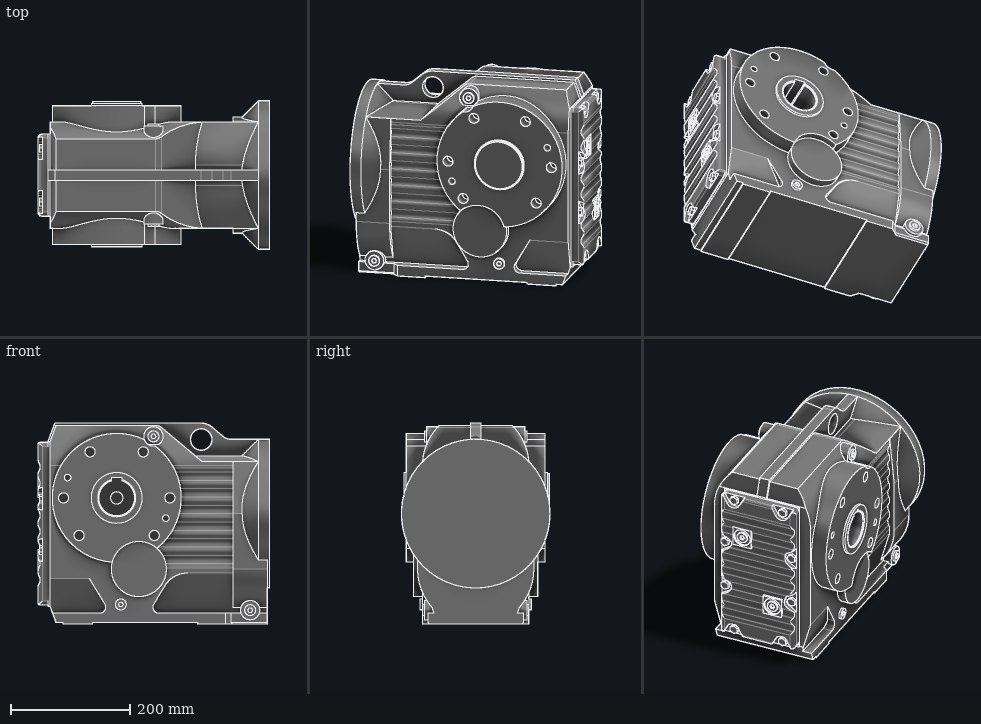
import cadquery as cq
import math


cut_margin = 1.0

half_width = 89.5
foot_z = -209.5
roof_z = 121.8
roof_half_width = 61.0
shoulder_z = 54.4
left_x = -112.0
left_slant_x = -102.0
left_slant_top_z = 94.0
left_slant_bottom_z = -182.6
right_x = 253.0

slope_angle = math.radians(40)
slope_top_x = 71.0
slope_round = 15.0
barrel_roof_z = 70.4
barrel_flat_half = 17.0
barrel_eave_z = 60.8
barrel_start_x = 100.0

flange_z = -26.4
flange_radius = 125.0
flange_face_x = 257.0
flange_back_x = 238.0
cone_length = 38.0
block_start_x = 195.0
block_radius = 97.8
block_round_z = -119.4

rib_width = 18.0
rib_top_z = 125.8
rib_left_x = -115.0
rib_left_top_x = -104.0
rib_left_corner_z = 96.3
rib_right_z = 98.6
rib_base_z = 50.0
eye_x = 142.0
eye_z = 98.0
eye_radius = 17.8
rib_end_round = rib_top_z - eye_z
rib_foot_round = 21.0

disc_radius = 108.3
disc_y = 116.7
bolt_circle = 89.3
bolt_hole_diameter = 17.0
bolt_hole_angles = (0, 60, 120, 180, 225, 315)
pin_hole_diameter = 11.0
pin_hole_angles = (-22.5, 157.5)
disc_hole_depth = 30.0
hub_radius = 42.7
hub_y = 120.7
end_cap_radius = 40.7
end_cap_y = 123.8
bore_radius = 30.0
bore_mouth_radius = 31.8
bore_mouth_depth = 2.0
bore_end_y = 95.0
center_hole_radius = 10.3
center_hole_depth = 20.0
key_width = 18.0
key_top_z = 34.2

cap_x = 37.2
cap_z = -119.6
cap_radius = 46.3
cap_y = 104.5

plug_radius = 9.2
plug_socket_radius = 4.2
plug_socket_depth = 3.0
plug_boss_radius = 16.2
upper_boss = (61.7, 103.3)
upper_boss_y = 82.5
upper_plug_y = 86.2
lower_plug = (7.0, -179.0)
lower_plug_y = 93.7
foot_boss = (224.2, -188.6)
foot_boss_y = 86.0
foot_plug_y = 89.5

ripple_angle = math.radians(30)
side_ripple_top_z = 50.4
side_ripple_pitch = 28.0
side_ripple_count = 6
side_ripple_start_x = 40.0
cover_ripple_top_z = 65.5
cover_ripple_pitch = 27.1
cover_ripple_count = 8

pocket_floor_z = -193.7
pocket_corner = 10.0
pocket_draft = 0.2835
pocket_end_slope = 0.6
left_pocket_top_z = -135.5
left_pocket_end_x = -45.8
right_pocket_top_z = -126.3
right_pocket_end_x = 93.7
right_pocket_round = 44.0
pad_height = 2.7
pad_left_x = (-90.5, -40.4)
pad_right_x = (135.8, right_x)
end_recess_x = 183.0
end_recess_full_x = 192.0
end_recess_half_width = 80.0

cover_half_width = 69.2
cover_top_z = 93.5
cover_bottom_z = -180.0
cover_face_x = -132.5
cover_plate_x = -115.0
cover_side_round = 8.0
cover_end_round = 4.0
cover_corner = 7.0
seat_floor_x = -124.5
seat_radius = 12.3
seat_mouth_half = 19.0
bolt_head_height = 5.5
bolt_head_corners = 15.0
end_bolt_y = 45.2
end_bolt_z = (84.4, -170.9)
side_bolt_y = 62.0
side_bolt_z = (-1.4, -87.6)
cover_plugs = ((28.3, 17.5), (-28.0, -103.7))
plug_pad_size = 34.4
plug_ring_radius = 15.0
plug_ring_depth = 3.0


def extrude_x(outline_yz, x_start, x_end):
    """Prism along X with a straight-sided (y, z) outline."""
    outline = cq.Workplane("YZ", origin=(x_start, 0, 0)).polyline(outline_yz).close()
    return outline.extrude(x_end - x_start)


def cylinder_x(y, z, radius, x_start, x_end):
    return cq.Workplane("YZ", origin=(x_start, 0, 0)).center(y, z).circle(radius).extrude(x_end - x_start)


def cylinder_y(x, z, radius, y_start, y_end):
    """Cylinder along Y; the XZ workplane normal points to -Y."""
    return cq.Workplane("XZ", origin=(0, y_start, 0)).center(x, z).circle(radius).extrude(y_start - y_end)


def block(x_range, y_range, z_range):
    size = [b - a for a, b in (x_range, y_range, z_range)]
    corner = (x_range[0], y_range[0], z_range[0])
    return cq.Workplane("XY", origin=corner).box(*size, centered=False)


def both_sides(solid):
    return solid.union(solid.mirror("XZ"))


def ripple_cutter(plane, crest, top_z, pitch, count, outward):
    """Outline of the space outside a rippled face: alternating convex and hollow arcs.

    Crests lie at the coordinate crest; outward is +1 or -1, the way the face looks.
    """
    radius = pitch / 4 / math.sin(ripple_angle)
    sag = radius * (1 - math.cos(ripple_angle))
    half_sag = radius * (1 - math.cos(ripple_angle / 2))
    half_rise = radius * math.sin(ripple_angle / 2)
    overhang = crest + cut_margin * outward
    outline = plane.moveTo(crest, top_z)
    for index in range(count):
        z = top_z - index * pitch
        outline = outline.threePointArc(
            (crest - outward * half_sag, z - half_rise), (crest - outward * sag, z - pitch / 4)
        )
        outline = outline.threePointArc(
            (crest - outward * 2 * sag, z - pitch / 2), (crest - outward * sag, z - 3 * pitch / 4)
        )
        outline = outline.threePointArc(
            (crest - outward * half_sag, z - pitch + half_rise), (crest, z - pitch)
        )
    return outline.lineTo(overhang, top_z - count * pitch).lineTo(overhang, top_z).close()


def make_housing():
    length = right_x - left_x
    shoulder_drop = roof_z - shoulder_z
    shoulder_inset = half_width - roof_half_width
    shoulder_radius = (shoulder_drop**2 + shoulder_inset**2) / (2 * shoulder_inset)
    section = (
        cq.Workplane("YZ", origin=(left_x, 0, 0))
        .moveTo(-half_width, foot_z)
        .lineTo(half_width, foot_z)
        .lineTo(half_width, shoulder_z)
        .radiusArc((roof_half_width, roof_z), -shoulder_radius)
        .lineTo(-roof_half_width, roof_z)
        .radiusArc((-half_width, shoulder_z), -shoulder_radius)
        .close()
        .extrude(length)
    )
    slope_end_z = 0.0
    slope_end_x = slope_top_x + (roof_z - slope_end_z) / math.tan(slope_angle)
    side_outline = (
        cq.Workplane("XZ", origin=(0, half_width, 0))
        .polyline([
            (left_slant_x, foot_z),
            (left_x, left_slant_bottom_z),
            (left_x, left_slant_top_z),
            (left_slant_x, roof_z),
            (slope_top_x, roof_z),
            (slope_end_x, slope_end_z),
            (right_x, slope_end_z),
            (right_x, foot_z),
        ])
        .close()
        .extrude(2 * half_width)
        .edges(cq.selectors.NearestToPointSelector((slope_top_x, 0, roof_z)))
        .fillet(slope_round)
    )
    eave_run = half_width - barrel_flat_half
    eave_drop = barrel_roof_z - barrel_eave_z
    eave_radius = (eave_run**2 + eave_drop**2) / (2 * eave_drop)
    barrel = (
        cq.Workplane("YZ", origin=(barrel_start_x, 0, 0))
        .moveTo(-half_width, slope_end_z)
        .lineTo(half_width, slope_end_z)
        .lineTo(half_width, barrel_eave_z)
        .radiusArc((barrel_flat_half, barrel_roof_z), -eave_radius)
        .lineTo(-barrel_flat_half, barrel_roof_z)
        .radiusArc((-half_width, barrel_eave_z), -eave_radius)
        .close()
        .extrude(right_x - barrel_start_x)
    )
    return section.intersect(side_outline.union(barrel))


def make_side_ripples():
    plane = cq.Workplane("YZ", origin=(side_ripple_start_x, 0, 0))
    outline = ripple_cutter(
        plane, half_width, side_ripple_top_z, side_ripple_pitch, side_ripple_count, outward=1
    )
    return both_sides(outline.extrude(block_start_x - side_ripple_start_x))


def make_pocket(top_z, outline, rounds):
    """Foot pocket on the -Y side: an (x, z) outline cut back to a drafted wall."""
    prism = outline.close().extrude(half_width)
    for point, radius in rounds:
        selector = cq.selectors.NearestToPointSelector((point[0], -half_width, point[1]))
        prism = prism.edges(selector).fillet(radius)
    depth = pocket_draft * (top_z - pocket_floor_z)
    wedge = extrude_x(
        [
            (-half_width, top_z),
            (-half_width - cut_margin, top_z),
            (-half_width - cut_margin, pocket_floor_z),
            (-half_width + depth, pocket_floor_z),
        ],
        left_x - cut_margin,
        right_x + cut_margin,
    )
    return both_sides(prism.intersect(wedge))


def make_left_pocket():
    reach = pocket_end_slope * (left_pocket_top_z - pocket_floor_z)
    corner = (left_pocket_end_x + reach, pocket_floor_z)
    outline = cq.Workplane("XZ", origin=(0, -half_width / 2, 0)).polyline([
        (left_x, left_pocket_top_z),
        (left_pocket_end_x, left_pocket_top_z),
        corner,
        (left_x, pocket_floor_z),
    ])
    return make_pocket(left_pocket_top_z, outline, [(corner, pocket_corner)])


def make_right_pocket():
    reach = pocket_end_slope * (right_pocket_top_z - pocket_floor_z)
    lower_corner = (right_pocket_end_x - reach, pocket_floor_z)
    upper_corner = (right_pocket_end_x, right_pocket_top_z)
    outline = cq.Workplane("XZ", origin=(0, -half_width / 2, 0)).polyline([
        (right_x, right_pocket_top_z),
        upper_corner,
        lower_corner,
        (right_x, pocket_floor_z),
    ])
    rounds = [(lower_corner, pocket_corner), (upper_corner, right_pocket_round)]
    return make_pocket(right_pocket_top_z, outline, rounds)


def make_foot_pads():
    pads = cq.Workplane("XY")
    for x_range in (pad_left_x, pad_right_x):
        pads = pads.union(block(x_range, (-half_width, half_width), (foot_z - pad_height, foot_z)))
    return pads


def make_end_recess():
    """Narrows the foot at its flange end on both sides."""
    bottom_z = foot_z - pad_height
    outline = (
        cq.Workplane("XY", origin=(0, 0, bottom_z))
        .polyline([
            (end_recess_x, -half_width),
            (end_recess_full_x, -end_recess_half_width),
            (right_x, -end_recess_half_width),
            (right_x, -half_width),
        ])
        .close()
        .extrude(pocket_floor_z - bottom_z)
    )
    return both_sides(outline)


def chamfer_end_recess(solid):
    """Chamfers the bottom edges of the narrowed foot by the pad height."""
    bottom_z = foot_z - pad_height
    for side in (-1, 1):
        straight_middle = ((end_recess_full_x + right_x) / 2, side * end_recess_half_width, bottom_z)
        edge = solid.edges(cq.selectors.NearestToPointSelector(straight_middle))
        solid = edge.chamfer(pad_height)
    return solid


def make_end_block():
    straight = extrude_x(
        [
            (-block_radius, block_round_z),
            (block_radius, block_round_z),
            (block_radius, flange_z),
            (half_width, barrel_eave_z),
            (-half_width, barrel_eave_z),
            (-block_radius, flange_z),
        ],
        block_start_x,
        right_x,
    )
    rounded = straight.union(cylinder_x(0, block_round_z, block_radius, block_start_x, right_x))
    return rounded.intersect(
        block((block_start_x, right_x), (-block_radius, block_radius), (foot_z, barrel_eave_z))
    )


def make_flange():
    return (
        cq.Workplane("XY")
        .polyline([
            (flange_back_x - cone_length, 0),
            (flange_back_x - cone_length, flange_radius - cone_length),
            (flange_back_x, flange_radius),
            (flange_face_x, flange_radius),
            (flange_face_x, 0),
        ])
        .close()
        .revolve(360, (0, 0, 0), (1, 0, 0))
        .translate((0, 0, flange_z))
    )


def make_lifting_rib():
    """Web along the roof, rounded about the lifting eye and sloping to the flange."""
    corner_x = eye_x + rib_end_round * math.tan(slope_angle / 2)
    foot_x = corner_x + (rib_top_z - rib_right_z) / math.tan(slope_angle)
    rib = (
        cq.Workplane("XZ", origin=(0, rib_width / 2, 0))
        .polyline([
            (rib_left_x, rib_base_z),
            (rib_left_x, rib_left_corner_z),
            (rib_left_top_x, rib_top_z),
            (corner_x, rib_top_z),
            (foot_x, rib_right_z),
            (flange_back_x, rib_right_z),
            (flange_back_x, rib_base_z),
        ])
        .close()
        .extrude(rib_width)
    )
    for x, z, radius in ((corner_x, rib_top_z, rib_end_round), (foot_x, rib_right_z, rib_foot_round)):
        rib = rib.edges(cq.selectors.NearestToPointSelector((x, 0, z))).fillet(radius)
    return rib.cut(cylinder_y(eye_x, eye_z, eye_radius, rib_width / 2, -rib_width / 2))


def make_disc():
    """Output disc on the -Y side, notched around the cap and the plug boss."""
    disc = cylinder_y(0, 0, disc_radius, 0, -disc_y)
    disc = disc.cut(cylinder_y(*upper_boss, plug_boss_radius, -upper_boss_y, -disc_y))
    disc = disc.cut(cylinder_y(cap_x, cap_z, cap_radius, -cap_y, -disc_y))
    return disc


def make_disc_holes():
    holes = cq.Workplane("XY")
    for angles, diameter in ((bolt_hole_angles, bolt_hole_diameter), (pin_hole_angles, pin_hole_diameter)):
        for angle in angles:
            x = bolt_circle * math.cos(math.radians(angle))
            z = bolt_circle * math.sin(math.radians(angle))
            holes = holes.union(cylinder_y(x, z, diameter / 2, -disc_y, disc_hole_depth - disc_y))
    return both_sides(holes)


def make_shaft_bore():
    """Keyed bore open on -Y, ending at a wall with a blind center hole."""
    bore = cylinder_y(0, 0, bore_radius, -hub_y, bore_end_y)
    bore = bore.union(block((-key_width / 2, key_width / 2), (-hub_y, bore_end_y), (0, key_top_z)))
    bore = bore.union(cylinder_y(0, 0, bore_mouth_radius, -hub_y, bore_mouth_depth - hub_y))
    return bore.union(cylinder_y(0, 0, center_hole_radius, bore_end_y, bore_end_y + center_hole_depth))


def make_plug(place, face_y):
    """Screw plug on the -Y side with a hexagon socket."""
    plug = cylinder_y(*place, plug_radius, 0, -face_y)
    socket = (
        cq.Workplane("XZ", origin=(0, -face_y, 0))
        .center(*place)
        .polygon(6, 2 * plug_socket_radius)
        .extrude(-plug_socket_depth)
    )
    return plug.cut(socket)


def make_cover_blank():
    """Inspection cover with softened edges, on its square base plate."""
    y_range = (-cover_half_width, cover_half_width)
    x_range = (cover_face_x, left_x)
    z_range = (cover_bottom_z, cover_top_z)
    blank = block(x_range, y_range, z_range).edges("|X").fillet(cover_corner)
    blank = blank.faces("<X").edges().fillet(cover_end_round)
    blank = blank.intersect(block(x_range, y_range, z_range).edges("<X and |Z").fillet(cover_side_round))
    return blank.union(block((cover_plate_x, left_x), y_range, (left_slant_bottom_z, left_slant_top_z)))


def make_cover_ripples():
    plane = cq.Workplane("XZ", origin=(0, cover_half_width, 0))
    outline = ripple_cutter(
        plane, cover_face_x, cover_ripple_top_z, cover_ripple_pitch, cover_ripple_count, outward=-1
    )
    return outline.extrude(2 * cover_half_width)


def make_bolt_seat(y, z, outward):
    """Pocket around a cover bolt, widening to the cover's edge in the (y, z) direction outward."""
    if outward[0]:
        edge = cover_half_width - abs(y)
    elif outward[1] > 0:
        edge = cover_top_z - z
    else:
        edge = z - cover_bottom_z
    mouth_corner_distance = math.hypot(edge, seat_mouth_half)
    tangent_angle = math.atan2(seat_mouth_half, edge) + math.acos(seat_radius / mouth_corner_distance)
    tangent_u = seat_radius * math.cos(tangent_angle)
    tangent_v = seat_radius * math.sin(tangent_angle)

    def place(u, v):
        return (y + u * outward[0] - v * outward[1], z + u * outward[1] + v * outward[0])

    return (
        cq.Workplane("YZ", origin=(cover_face_x, 0, 0))
        .moveTo(*place(edge, seat_mouth_half))
        .lineTo(*place(tangent_u, tangent_v))
        .threePointArc(place(-seat_radius, 0), place(tangent_u, -tangent_v))
        .lineTo(*place(edge, -seat_mouth_half))
        .close()
        .extrude(seat_floor_x - cover_face_x)
    )


def make_bolt_head(y, z):
    return (
        cq.Workplane("YZ", origin=(seat_floor_x - bolt_head_height, 0, 0))
        .center(y, z)
        .transformed(rotate=(0, 0, 90))
        .polygon(6, bolt_head_corners)
        .extrude(bolt_head_height)
    )


def make_cover_plug(y, z):
    """Square pad with a counterbored ring around a flush socket plug."""
    pad_origin = (cover_face_x, 0, 0)
    pad_depth = seat_floor_x - cover_face_x
    pad_outline = cq.Workplane("YZ", origin=pad_origin).center(y, z).rect(plug_pad_size, plug_pad_size)
    pad = pad_outline.extrude(pad_depth)
    pad = pad.cut(cylinder_x(y, z, plug_ring_radius, cover_face_x, cover_face_x + plug_ring_depth))
    pad = pad.union(cylinder_x(y, z, plug_radius, cover_face_x, seat_floor_x))
    socket = cq.Workplane("YZ", origin=pad_origin).center(y, z).polygon(6, 2 * plug_socket_radius)
    return pad.cut(socket.extrude(plug_socket_depth))


def make_cover():
    cover = make_cover_blank().cut(make_cover_ripples())
    bolts = []
    for side in (-1, 1):
        for z, direction in zip(end_bolt_z, (1, -1)):
            bolts.append((side * end_bolt_y, z, (0, direction)))
        for z in side_bolt_z:
            bolts.append((side * side_bolt_y, z, (side, 0)))
    for y, z in cover_plugs:
        cover = cover.cut(cylinder_x(y, z, plug_ring_radius, cover_face_x, seat_floor_x))
        cover = cover.union(make_cover_plug(y, z))
    for y, z, outward in bolts:
        cover = cover.cut(make_bolt_seat(y, z, outward)).union(make_bolt_head(y, z))
    return cover


body = make_housing()
body = body.cut(make_left_pocket())
body = body.cut(make_side_ripples())
body = body.cut(make_right_pocket())
body = body.union(make_end_block())
body = body.union(make_foot_pads())
body = body.cut(make_end_recess())
body = chamfer_end_recess(body)
body = body.union(make_lifting_rib())
body = body.union(make_flange())
body = body.union(both_sides(make_disc()))
body = body.union(both_sides(cylinder_y(cap_x, cap_z, cap_radius, 0, -cap_y)))
body = body.cut(make_disc_holes())

body = body.union(cylinder_y(0, 0, hub_radius, -hub_y, hub_y))
body = body.union(cylinder_y(0, 0, end_cap_radius, 0, end_cap_y))
body = body.cut(make_shaft_bore())

body = body.union(both_sides(cylinder_y(*upper_boss, plug_boss_radius, 0, -upper_boss_y)))
body = body.union(both_sides(cylinder_y(*foot_boss, plug_boss_radius, 0, -foot_boss_y)))
for plug_place, plug_face_y in (
    (upper_boss, upper_plug_y), (lower_plug, lower_plug_y), (foot_boss, foot_plug_y)
):
    body = body.union(both_sides(make_plug(plug_place, plug_face_y)))

result = body.union(make_cover())